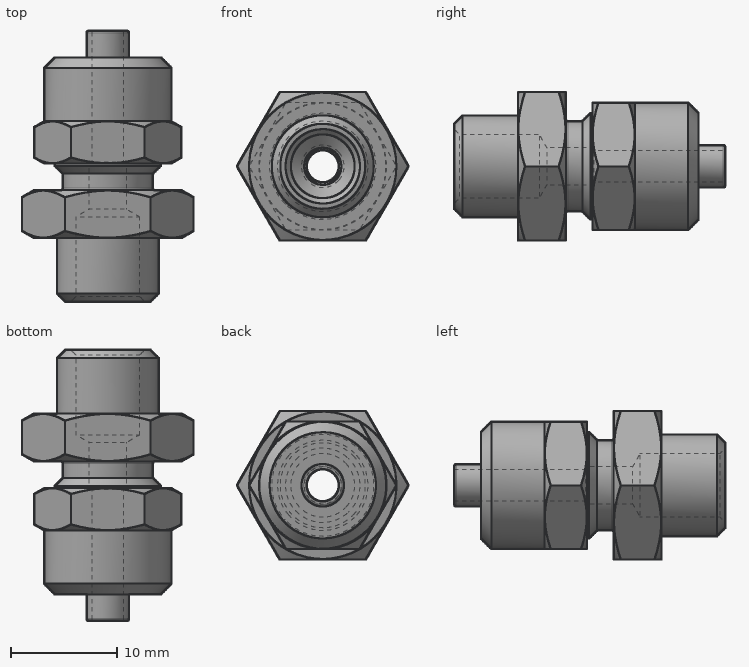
import cadquery as cq
import math

TOTAL_LENGTH = 25.5
FULL_TURN = 360

THREAD_DIAMETER = 9.6
THREAD_LENGTH = 6.0
THREAD_CHAMFER = 0.8

BODY_HEX_FLATS = 14.0
BODY_HEX_WIDTH = 4.5
NUT_HEX_FLATS = 12.0
NUT_HEX_WIDTH = 4.0
HEX_CHAMFER_ANGLE = 30.0
HALF_HEX_ANGLE = 30.0
HEX_FACE_RATIO = 0.99

NECK_DIAMETER = 8.5
NECK_FILLET = 0.2
COLLAR_DIAMETER = 10.0
COLLAR_LENGTH = 0.2
NUT_HEX_START = 13.0

NUT_END = 23.0
NUT_END_CHAMFER = 1.0

TUBE_DIAMETER = 4.0
TUBE_EDGE_FILLET = 0.2

PORT_DIAMETER = 6.0
PORT_DEPTH = 8.0
PORT_CHAMFER = 0.5
STEP_DIAMETER = 3.5
STEP_END = 13.0
TUBE_BORE_DIAMETER = 3.0
DRILL_TIP_ANGLE = 120.0

BODY_HEX_END = THREAD_LENGTH + BODY_HEX_WIDTH
NUT_HEX_END = NUT_HEX_START + NUT_HEX_WIDTH
COLLAR_START = NUT_HEX_START - COLLAR_LENGTH


def revolve_about_y(outline):
    """Revolve a closed outline, drawn as radius against station, about the Y axis."""
    return outline.revolve(FULL_TURN, (0, 0, 0), (0, 1, 0))


def revolve_profile(points):
    """Revolve a straight-sided outline of (radius, station) points."""
    return revolve_about_y(cq.Workplane("XY").polyline(points).close())


def chamfered_hex(across_flats, start, width):
    """Hexagon with flats facing +Z and -Z and conical corner chamfers at both ends."""
    corner_radius = across_flats / 2 / math.cos(math.radians(HALF_HEX_ANGLE))
    face_radius = across_flats * HEX_FACE_RATIO / 2
    chamfer_length = (corner_radius - face_radius) * math.tan(math.radians(HEX_CHAMFER_ANGLE))
    end = start + width
    prism = (
        cq.Workplane("XZ", origin=(0, start, 0))
        .polygon(6, 2 * corner_radius)
        .extrude(-width)
    )
    envelope = revolve_profile([
        (0, start),
        (face_radius, start),
        (corner_radius, start + chamfer_length),
        (corner_radius, end - chamfer_length),
        (face_radius, end),
        (0, end),
    ])
    return prism.intersect(envelope)


def arc_middle_inset(fillet_radius):
    """Distance, along each side of a square corner, from the corner to its fillet's midpoint."""
    return fillet_radius * (1 - math.cos(math.radians(45)))


def round_body():
    """All turned outer surfaces, from the threaded spigot to the tube end."""
    thread_radius = THREAD_DIAMETER / 2
    neck_radius = NECK_DIAMETER / 2
    collar_radius = COLLAR_DIAMETER / 2
    nut_radius = NUT_HEX_FLATS / 2
    tube_radius = TUBE_DIAMETER / 2
    collar_cone_start = COLLAR_START - (collar_radius - neck_radius)
    neck_arc_middle = arc_middle_inset(NECK_FILLET)
    tube_arc_middle = arc_middle_inset(TUBE_EDGE_FILLET)
    outline = (
        cq.Workplane("XY")
        .lineTo(thread_radius - THREAD_CHAMFER, 0)
        .lineTo(thread_radius, THREAD_CHAMFER)
        .lineTo(thread_radius, BODY_HEX_END)
        .lineTo(neck_radius + NECK_FILLET, BODY_HEX_END)
        .threePointArc(
            (neck_radius + neck_arc_middle, BODY_HEX_END + neck_arc_middle),
            (neck_radius, BODY_HEX_END + NECK_FILLET),
        )
        .lineTo(neck_radius, collar_cone_start)
        .lineTo(collar_radius, COLLAR_START)
        .lineTo(collar_radius, NUT_HEX_END)
        .lineTo(nut_radius, NUT_HEX_END)
        .lineTo(nut_radius, NUT_END - NUT_END_CHAMFER)
        .lineTo(nut_radius - NUT_END_CHAMFER, NUT_END)
        .lineTo(tube_radius, NUT_END)
        .lineTo(tube_radius, TOTAL_LENGTH - TUBE_EDGE_FILLET)
        .threePointArc(
            (tube_radius - tube_arc_middle, TOTAL_LENGTH - tube_arc_middle),
            (tube_radius - TUBE_EDGE_FILLET, TOTAL_LENGTH),
        )
        .lineTo(0, TOTAL_LENGTH)
        .close()
    )
    return revolve_about_y(outline)


def drill_tip_length(wide_diameter, narrow_diameter):
    """Length of the drill-point cone between two bore diameters."""
    return (wide_diameter - narrow_diameter) / 2 / math.tan(math.radians(DRILL_TIP_ANGLE / 2))


def through_bore():
    """Chamfered port narrowing to the tube bore through two drill-point cones."""
    port_radius = PORT_DIAMETER / 2
    step_radius = STEP_DIAMETER / 2
    bore_radius = TUBE_BORE_DIAMETER / 2
    step_start = PORT_DEPTH + drill_tip_length(PORT_DIAMETER, STEP_DIAMETER)
    bore_start = STEP_END + drill_tip_length(STEP_DIAMETER, TUBE_BORE_DIAMETER)
    return revolve_profile([
        (0, 0),
        (port_radius + PORT_CHAMFER, 0),
        (port_radius, PORT_CHAMFER),
        (port_radius, PORT_DEPTH),
        (step_radius, step_start),
        (step_radius, STEP_END),
        (bore_radius, bore_start),
        (bore_radius, TOTAL_LENGTH),
        (0, TOTAL_LENGTH),
    ])


body_hex = chamfered_hex(BODY_HEX_FLATS, THREAD_LENGTH, BODY_HEX_WIDTH)
nut_hex = chamfered_hex(NUT_HEX_FLATS, NUT_HEX_START, NUT_HEX_WIDTH)

fitting = round_body().union(body_hex).union(nut_hex).cut(through_bore())

result = fitting.translate((0, -TOTAL_LENGTH / 2, 0))